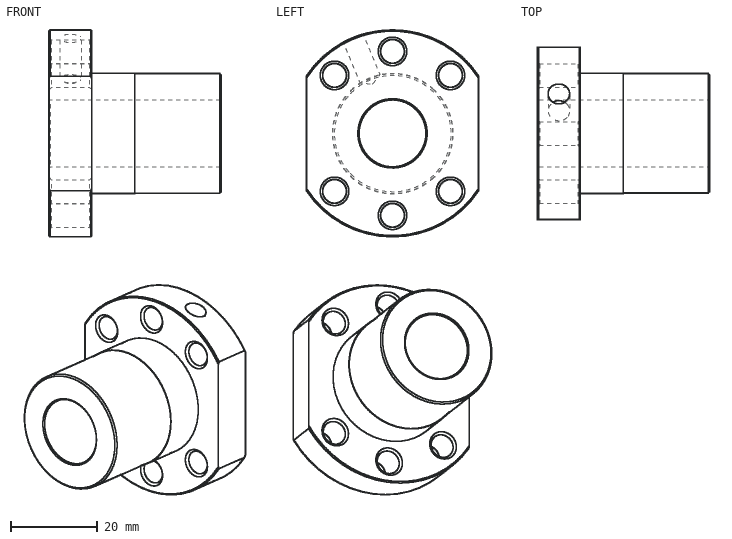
import cadquery as cq
import math

flange_diameter = 48.0
flange_width = 40.0
flange_thickness = 10.0
flange_chamfer = 0.3

total_length = 40.0
collar_diameter = 28.0
collar_length = flange_thickness
barrel_diameter = 27.8
barrel_chamfer = 0.4

bore_diameter = 15.5
bore_chamfer = 0.3

bolt_circle_diameter = 38.0
bolt_hole_diameter = 5.45
bolt_hole_chamfer = 0.6
bolt_angles = [-45, 0, 45, 135, 180, 225]

oil_hole_diameter = 5.0
oil_hole_angle = 22.5
oil_hole_bottom_radius = 13.8
drill_point_angle = 120


def cylinder(diameter, start, length):
    """Solid cylinder along X, centred on the main axis."""
    return cq.Workplane("YZ", origin=(start, 0, 0)).circle(diameter / 2).extrude(length)


def chamfered_hole(diameter, chamfer, length):
    """Cutter along X from X = 0, widened by a chamfer at both ends."""
    radius = diameter / 2
    profile = [
        (0, 0),
        (0, radius + chamfer),
        (chamfer, radius),
        (length - chamfer, radius),
        (length, radius + chamfer),
        (length, 0),
    ]
    return cq.Workplane("XY").polyline(profile).close().revolve(360, (0, 0, 0), (1, 0, 0))


def make_flange():
    disc = cylinder(flange_diameter, 0, flange_thickness).edges().chamfer(flange_chamfer)
    flats = cq.Workplane("XY").box(2 * flange_thickness, flange_width, flange_diameter)
    return disc.intersect(flats)


def make_body():
    collar = cylinder(collar_diameter, flange_thickness, collar_length)
    barrel = cylinder(barrel_diameter, flange_thickness, total_length - flange_thickness)
    return collar.union(barrel.faces(">X").chamfer(barrel_chamfer))


def make_oil_hole():
    """Radial cutter from the flange rim inwards, tilted from +Z towards +Y."""
    radius = oil_hole_diameter / 2
    point_depth = radius / math.tan(math.radians(drill_point_angle / 2))
    outer_end = flange_diameter
    profile = [
        (0, oil_hole_bottom_radius - point_depth),
        (radius, oil_hole_bottom_radius),
        (radius, outer_end),
        (0, outer_end),
    ]
    cutter = cq.Workplane("XZ").polyline(profile).close().revolve(360, (0, 0, 0), (0, 1, 0))
    cutter = cutter.rotate((0, 0, 0), (1, 0, 0), -oil_hole_angle)
    return cutter.translate((flange_thickness / 2, 0, 0))


result = make_flange().union(make_body())
result = result.cut(chamfered_hole(bore_diameter, bore_chamfer, total_length))

bolt_hole = chamfered_hole(bolt_hole_diameter, bolt_hole_chamfer, flange_thickness)
bolt_hole = bolt_hole.translate((0, 0, bolt_circle_diameter / 2))
for bolt_angle in bolt_angles:
    result = result.cut(bolt_hole.rotate((0, 0, 0), (1, 0, 0), bolt_angle))

result = result.cut(make_oil_hole())